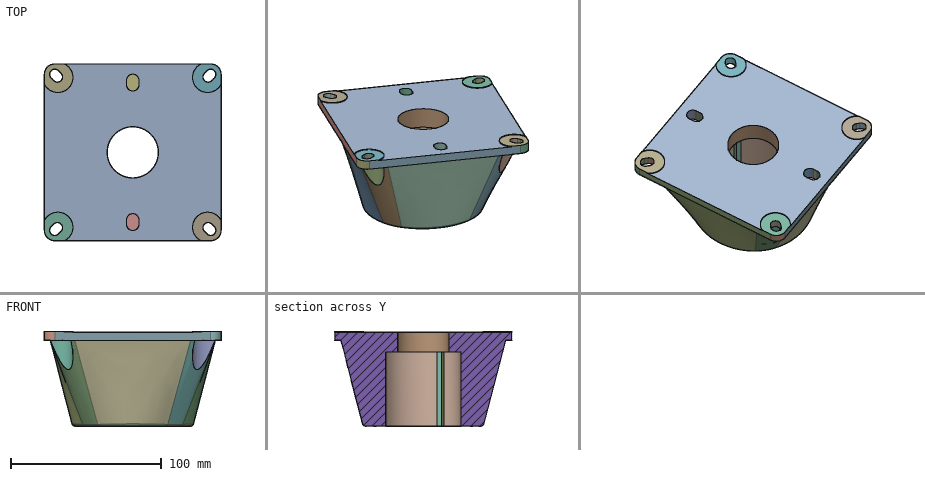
import cadquery as cq
import math

plate_side = 117.4
total_height = 63.0
pad_height = 0.5
plate_thickness = 5.5
plate_corner_radius = 7.0

body_top_side = 109.7
body_top_corner_radius = 16.4
body_bottom_radius = 39.9
body_bottom_fillet = 2.3

bore_diameter = 33.8
pocket_diameter = 49.8
bore_depth = 13.4

rib_width = 3.4
rib_height = 3.5
rib_angle = 60.0

pad_diameter = 20.0
pad_inset = 9.0
mount_slot_length = 9.2
mount_slot_width = 6.7
mount_slot_inset = 7.9

blind_slot_length = 11.2
blind_slot_width = 8.2
blind_slot_offset = 46.3
blind_slot_depth = 9.4

plate_top = total_height - pad_height
plate_bottom = plate_top - plate_thickness
pocket_top = plate_top - bore_depth

corner_angles = [45, 135, 225, 315]


def corner_points(inset):
    reach = plate_side / 2 - inset
    return [(reach * x, reach * y) for x in (-1, 1) for y in (-1, 1)]


def make_body():
    """Loft from a circle at the underside to a rounded square under the plate."""
    square = cq.Sketch().rect(body_top_side, body_top_side).vertices().fillet(body_top_corner_radius)
    body = (
        cq.Workplane("XY")
        .placeSketch(
            cq.Sketch().circle(body_bottom_radius),
            square.moved(cq.Location(cq.Vector(0, 0, plate_bottom))),
        )
        .loft()
    )
    return body.faces("<Z").edges().fillet(body_bottom_fillet)


def make_corner_cylinders(bottom, height):
    """Round columns at the four corners, as wide as the pads."""
    return (
        cq.Workplane("XY", origin=(0, 0, bottom))
        .pushPoints(corner_points(pad_inset))
        .circle(pad_diameter / 2)
        .extrude(height)
    )


def make_plate(bottom, height):
    return (
        cq.Workplane("XY", origin=(0, 0, bottom))
        .rect(plate_side, plate_side)
        .extrude(height)
        .edges("|Z")
        .fillet(plate_corner_radius)
    )


def make_pads():
    """Raised pads, trimmed to the rounded outline of the plate."""
    return make_corner_cylinders(plate_top, pad_height).intersect(make_plate(plate_top, pad_height))


def make_mount_slots():
    """Through slots pointing along the diagonals."""
    slots = cq.Workplane("XY")
    reach = math.sqrt(2) * (plate_side / 2 - mount_slot_inset)
    slot = (
        cq.Workplane("XY")
        .center(reach, 0)
        .slot2D(mount_slot_length, mount_slot_width)
        .extrude(total_height)
    )
    for angle in corner_angles:
        slots = slots.add(slot.rotate((0, 0, 0), (0, 0, 1), angle))
    return slots.combine()


def make_blind_slots():
    return (
        cq.Workplane("XY", origin=(0, 0, plate_top))
        .pushPoints([(0, -blind_slot_offset), (0, blind_slot_offset)])
        .slot2D(blind_slot_length, blind_slot_width, 90)
        .extrude(-blind_slot_depth)
    )


def make_pocket():
    """Pocket open at the underside, leaving a vertical rib standing on its wall."""
    pocket_radius = pocket_diameter / 2
    pocket = cq.Workplane("XY").circle(pocket_radius).extrude(pocket_top)
    rib = (
        cq.Workplane("XY")
        .center(pocket_radius, 0)
        .rect(2 * rib_height, rib_width)
        .extrude(pocket_top)
        .rotate((0, 0, 0), (0, 0, 1), rib_angle)
    )
    return pocket.cut(rib)


bore = cq.Workplane("XY").circle(bore_diameter / 2).extrude(total_height)

result = (
    make_body()
    .cut(make_corner_cylinders(0, plate_bottom))
    .union(make_plate(plate_bottom, plate_thickness))
    .union(make_pads())
    .cut(bore)
    .cut(make_pocket())
    .cut(make_mount_slots())
    .cut(make_blind_slots())
)